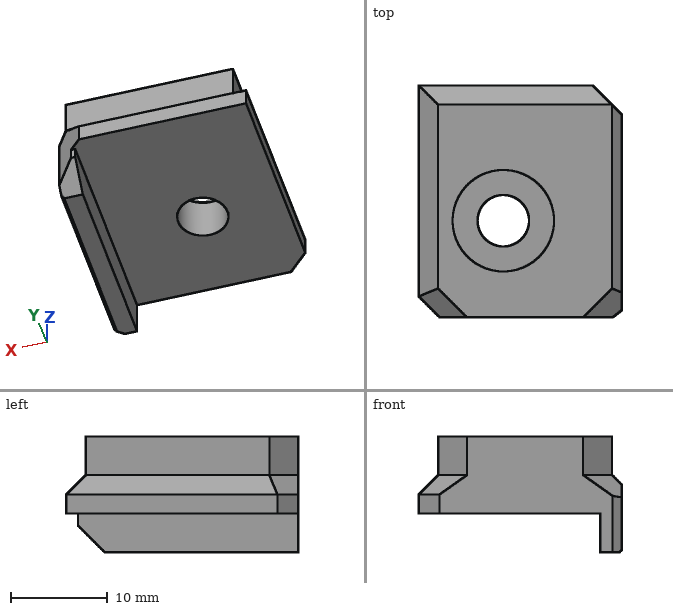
import cadquery as cq
import math

length_x = 21.0
length_y = 24.0
height = 12.0
plate_bottom_z = 4.0
flange_top_z = 8.0

flange_left = 2.0
flange_right = 1.0
flange_back = 2.0
block_corner_cut = 3.0

back_corner_cut = 3.0
front_right_cut_x = 0.94
front_right_cut_y = 0.74

lip_thickness = 2.25
lip_length = 22.8
lip_back_bevel = 2.8
lip_bottom_chamfer = 0.25

hole_x = 8.75
hole_y = 10.0
hole_diameter = 5.3
counterbore_diameter = 10.5
counterbore_depth = 3.0


def block_outline(offset):
    """Corners of the upper block's outline, moved outward by offset on every side."""
    left = flange_left - offset
    right = length_x - flange_right + offset
    front = -offset
    back = length_y - flange_back + offset
    cut = block_corner_cut + offset * (2 - math.sqrt(2))
    return [
        (left + cut, front),
        (right - cut, front),
        (right, front + cut),
        (right, back),
        (left, back),
        (left, front + cut),
    ]


def make_block():
    return (
        cq.Workplane("XY")
        .workplane(offset=plate_bottom_z)
        .polyline(block_outline(0))
        .close()
        .extrude(height - plate_bottom_z)
    )


def make_footprint():
    """Full-height prism that bounds the flange and the lip."""
    front_left_cut = flange_left + block_corner_cut - flange_left * math.sqrt(2)
    corners = [
        (front_left_cut, 0),
        (length_x - front_right_cut_x, 0),
        (length_x, front_right_cut_y),
        (length_x, length_y - back_corner_cut),
        (length_x - back_corner_cut, length_y),
        (0, length_y),
        (0, front_left_cut),
    ]
    return cq.Workplane("XY").polyline(corners).close().extrude(height)


def make_flare():
    """Block outline spreading downward at 45 degrees from the flange top."""
    drop = flange_top_z - plate_bottom_z
    return (
        cq.Workplane("XY")
        .workplane(offset=plate_bottom_z)
        .polyline(block_outline(drop))
        .close()
        .workplane(offset=drop)
        .polyline(block_outline(0))
        .close()
        .loft(ruled=True, combine=True)
    )


def make_lip():
    """Wall below the plate, bevelled at its back end and along its outer bottom edge."""
    side_profile = [
        (0, 0),
        (lip_length - lip_back_bevel, 0),
        (lip_length, lip_back_bevel),
        (lip_length, plate_bottom_z),
        (0, plate_bottom_z),
    ]
    wall = (
        cq.Workplane("YZ")
        .workplane(offset=length_x - lip_thickness)
        .polyline(side_profile)
        .close()
        .extrude(lip_thickness)
    )
    return wall.faces(">X").edges("<Z").chamfer(lip_bottom_chamfer)


def cut_screw_hole(body):
    return (
        body.faces(">Z")
        .workplane(origin=(hole_x, hole_y, height))
        .cboreHole(hole_diameter, counterbore_diameter, counterbore_depth)
    )


footprint = make_footprint()
flange = make_flare().intersect(footprint)
lip = make_lip().intersect(footprint)
result = cut_screw_hole(make_block().union(flange).union(lip))